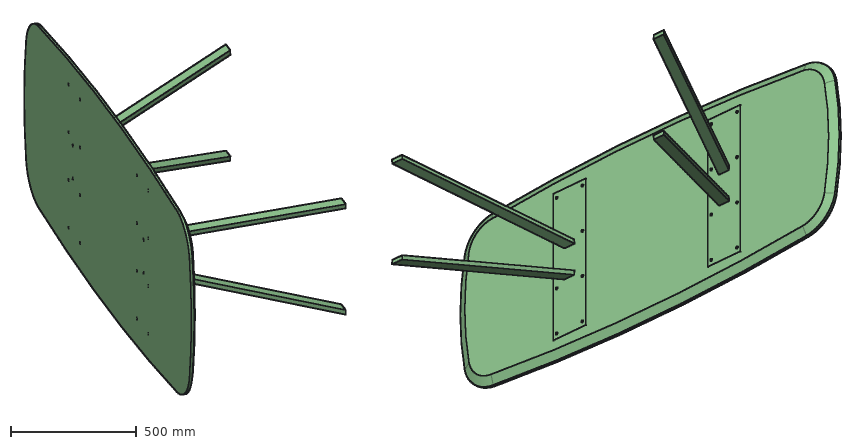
import cadquery as cq

TOP_LENGTH = 1995.0
TOP_WIDTH = 900.0
TOP_SIDE_BULGE = 54.0
TOP_END_BULGE = 50.0
TOP_CORNER_RADIUS = 170.0
TOP_THICKNESS = 30.0
BEVEL_DEPTH = 18.0
BEVEL_WIDTH = 40.0

FRAME_OFFSET = 407.0
FLOOR_Y = 752.0
PLATE_WIDTH = 172.0
PLATE_LENGTH = 698.0
PLATE_THICKNESS = 8.0

LEG_WIDTH = 50.0
LEG_THICKNESS = 20.0
LEG_TOP_X = 407.0
LEG_TOP_Z = 74.0
LEG_FOOT_X = 688.0
LEG_FOOT_Z = 240.0
LEG_SKIN = 1.0

SCREW_DIAMETER = 10.0
SCREW_SKIN = 4.0
SCREW_COLUMN_PITCH = 135.0
SCREW_ROW_PITCH = 215.0
SCREW_COLUMNS = 2
SCREW_ROWS = 4

SIDES = (-1, 1)


def plane_at(y):
    """Workplane parallel to XZ at the given Y, normal along +Y, so its local x runs along -X."""
    return cq.Workplane(cq.Plane(origin=(0, y, 0), xDir=(-1, 0, 0), normal=(0, 1, 0)))


def make_slab():
    """Tabletop blank: four bulging edges, rounded corners, bevelled underside."""
    crown_x = TOP_LENGTH / 2
    crown_z = TOP_WIDTH / 2
    corner_x = crown_x - TOP_END_BULGE
    corner_z = crown_z - TOP_SIDE_BULGE
    slab = (
        plane_at(0)
        .moveTo(-corner_x, -corner_z)
        .threePointArc((0, -crown_z), (corner_x, -corner_z))
        .threePointArc((crown_x, 0), (corner_x, corner_z))
        .threePointArc((0, crown_z), (-corner_x, corner_z))
        .threePointArc((-crown_x, 0), (-corner_x, -corner_z))
        .close()
        .extrude(TOP_THICKNESS)
        .edges("|Y")
        .fillet(TOP_CORNER_RADIUS)
    )
    return slab.faces(">Y").chamfer(BEVEL_DEPTH, BEVEL_WIDTH)


def make_plate(side):
    """Rectangular plate flush with the underside."""
    return (
        plane_at(TOP_THICKNESS)
        .center(-side * FRAME_OFFSET, 0)
        .rect(PLATE_WIDTH, PLATE_LENGTH)
        .extrude(-PLATE_THICKNESS)
    )


def make_leg(side, end):
    """Bar along the splayed leg axis: square-cut inside the tabletop, cut flat at the floor."""
    foot = cq.Vector(side * LEG_FOOT_X, FLOOR_Y, end * LEG_FOOT_Z)
    top = cq.Vector(side * LEG_TOP_X, TOP_THICKNESS, end * LEG_TOP_Z)
    axis = (foot - top).normalized()
    across = (cq.Vector(1, 0, 0) - axis * axis.x).normalized()
    through = axis.cross(across)

    corner_drop = abs(across.y) * LEG_WIDTH / 2 + abs(through.y) * LEG_THICKNESS / 2
    start_y = LEG_SKIN + corner_drop
    start = top + axis * ((start_y - TOP_THICKNESS) / axis.y)
    overrun = LEG_WIDTH
    length = (foot - start).Length + overrun
    bar = cq.Workplane(cq.Plane(origin=start, xDir=across, normal=axis))
    bar = bar.rect(LEG_WIDTH, LEG_THICKNESS).extrude(length)
    beyond_floor = plane_at(FLOOR_Y).rect(2 * TOP_LENGTH, 2 * TOP_LENGTH).extrude(2 * overrun)
    return bar.cut(beyond_floor)


def make_screw_holes(side):
    """Grid of blind screw holes drilled from the underside."""
    return (
        plane_at(SCREW_SKIN)
        .center(-side * FRAME_OFFSET, 0)
        .rarray(SCREW_COLUMN_PITCH, SCREW_ROW_PITCH, SCREW_COLUMNS, SCREW_ROWS)
        .circle(SCREW_DIAMETER / 2)
        .extrude(TOP_THICKNESS - SCREW_SKIN)
    )


def make_leg_frame(side):
    """Plate with its two legs, before the screw holes are drilled."""
    frame = make_plate(side)
    for end in SIDES:
        frame = frame.union(make_leg(side, end))
    return frame


tabletop = make_slab()
leg_frames = []
for side in SIDES:
    frame = make_leg_frame(side)
    screw_holes = make_screw_holes(side)
    tabletop = tabletop.cut(frame).cut(screw_holes)
    leg_frames.append(frame.cut(screw_holes))

result = cq.Compound.makeCompound([tabletop.val(), *[frame.val() for frame in leg_frames]])